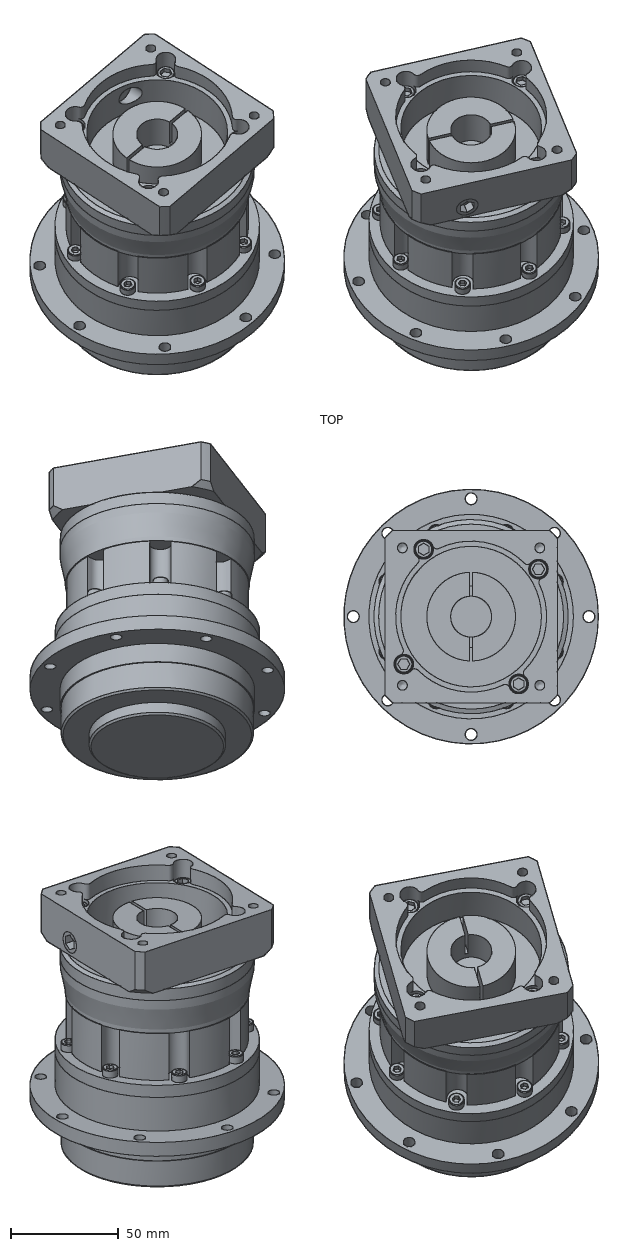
import cadquery as cq
import math

PILOT_TOP = 6.1
NOSE_TOP = 20.3
FLANGE_BOTTOM = 29.9
FLANGE_TOP = 37.1
HOUSING_BOTTOM = 54.6
FOOT_TOP = 60.9
COLLAR_BOTTOM = 85.5
CONE_BOTTOM = 87.5
CONE_TOP = 98.9
ADAPTER_BOTTOM = 103.7
POCKET_FLOOR = 106.1
PLATE_BOTTOM = 110.7
HUB_TOP = 123.9
POCKET_STEP = 125.5
TOP = 133.5

FLANGE_RADIUS = 59.0
BODY_RADIUS = 47.4
SHOULDER_RADIUS = 45.1
NOSE_RADIUS = 44.6
PILOT_RADIUS = 31.6
EDGE_CHAMFER = 1.0
FLANGE_HOLES = 8
FLANGE_HOLE_DIAMETER = 5.3
FLANGE_HOLE_CIRCLE = 54.6

RING_RADIUS = 45.0
COLLAR_RADIUS = 42.7
BARREL_RADIUS = 42.3
SLOTS = 8
SLOT_RADIUS = 5.0
SLOT_CENTER = 39.0
FOOT_SCREW_CIRCLE = 42.3
FOOT_HEAD_RADIUS = 3.6
FOOT_SOCKET_RADIUS = 1.9

HEAD_HEIGHT = 3.9
HEAD_CHAMFER = 0.4
SOCKET_DEPTH = 2.4

PLATE_SIDE = 79.8
PLATE_CORNER_RADIUS = 54.1
PLATE_CORNER_CHAMFER = 3.0
RING_CHAMFER_WIDTH = 2.1
RING_CHAMFER_HEIGHT = 1.0
POCKET_RADIUS = 32.6
POCKET_MOUTH_RADIUS = 35.0
ADAPTER_SCREWS = 4
ADAPTER_SCREW_CIRCLE = 38.2
ADAPTER_SCREW_ANGLE = 35.2
ADAPTER_HEAD_RADIUS = 4.1
ADAPTER_SOCKET_RADIUS = 2.8
ADAPTER_HEAD_TOP = 124.4
COUNTERBORE_RADIUS = 4.5
COUNTERBORE_FILLET = 2.0
MOTOR_HOLE_SPACING = 63.7
MOTOR_HOLE_RADIUS = 2.3
MOTOR_HOLE_DEPTH = 16.0
DRILL_POINT_ANGLE = 118.0

HUB_RADIUS = 20.5
HUB_BORE_RADIUS = 9.5
SLIT_WIDTH = 1.5
SLIT_STEP_RADIUS = 14.3
INNER_SLIT_DEPTH = 14.7

PLUG_RADIUS = 5.2
PLUG_LENGTH = 6.7
PLUG_Y = 14.2
PLUG_Z = 117.3
PLUG_SOCKET_RADIUS = 3.7
PLUG_SOCKET_DEPTH = 4.7


def disc(radius, bottom, top):
    """Cylinder on the Z axis between two heights."""
    return cq.Workplane("XY", origin=(0, 0, bottom)).circle(radius).extrude(top - bottom)


def ring_points(count, radius, start_angle):
    """Points equally spaced on a circle around the Z axis."""
    angles = [math.radians(start_angle + i * 360 / count) for i in range(count)]
    return [(radius * math.cos(a), radius * math.sin(a)) for a in angles]


def screw_heads(points, bottom, head_radius, socket_radius):
    """Chamfered heads with hexagon sockets; each is the first one turned about the Z axis."""
    top = bottom + HEAD_HEIGHT
    first = cq.Workplane("XY", origin=(*points[0], bottom)).circle(head_radius).extrude(HEAD_HEIGHT)
    first = first.faces(">Z").edges().chamfer(HEAD_CHAMFER)
    socket = cq.Workplane("XY", origin=(*points[0], top)).polygon(6, 2 * socket_radius)
    first = first.cut(socket.extrude(-SOCKET_DEPTH))
    step = 360 / len(points)
    return [first.rotate((0, 0, 0), (0, 0, 1), i * step) for i in range(len(points))]


def make_output_flange():
    """Stepped round body with the mounting flange and the pilot at its lower end."""
    pilot = disc(PILOT_RADIUS, 0, PILOT_TOP).faces("<Z").chamfer(EDGE_CHAMFER)
    nose = disc(NOSE_RADIUS, PILOT_TOP, NOSE_TOP).faces("<Z").chamfer(EDGE_CHAMFER)
    shoulder = disc(SHOULDER_RADIUS, NOSE_TOP, FLANGE_BOTTOM)
    flange = disc(FLANGE_RADIUS, FLANGE_BOTTOM, FLANGE_TOP)
    body = disc(BODY_RADIUS, FLANGE_TOP, HOUSING_BOTTOM)
    holes = (
        cq.Workplane("XY", origin=(0, 0, FLANGE_BOTTOM))
        .pushPoints(ring_points(FLANGE_HOLES, FLANGE_HOLE_CIRCLE, 0))
        .circle(FLANGE_HOLE_DIAMETER / 2)
        .extrude(FLANGE_TOP - FLANGE_BOTTOM)
    )
    return pilot.union(nose).union(shoulder).union(flange.cut(holes)).union(body)


def make_housing():
    """Slotted barrel on a round foot, flaring out to the adapter; the foot screws are part of it."""
    first_slot_angle = 180 / SLOTS
    housing = (
        cq.Workplane("XZ")
        .moveTo(0, HOUSING_BOTTOM)
        .lineTo(BODY_RADIUS, HOUSING_BOTTOM)
        .lineTo(BODY_RADIUS, FOOT_TOP)
        .lineTo(BARREL_RADIUS, FOOT_TOP)
        .lineTo(BARREL_RADIUS, COLLAR_BOTTOM)
        .lineTo(COLLAR_RADIUS, COLLAR_BOTTOM)
        .lineTo(COLLAR_RADIUS, CONE_BOTTOM)
        .lineTo(RING_RADIUS, CONE_TOP)
        .lineTo(RING_RADIUS, ADAPTER_BOTTOM)
        .lineTo(0, ADAPTER_BOTTOM)
        .close()
        .revolve(360, (0, 0, 0), (0, 1, 0))
    )
    slot_length = BODY_RADIUS - SLOT_CENTER
    slot = (
        cq.Workplane("XY", origin=(0, 0, FOOT_TOP))
        .moveTo(SLOT_CENTER, SLOT_RADIUS)
        .line(slot_length, 0)
        .line(0, -2 * SLOT_RADIUS)
        .line(-slot_length, 0)
        .threePointArc((SLOT_CENTER - SLOT_RADIUS, 0), (SLOT_CENTER, SLOT_RADIUS))
        .close()
        .extrude(COLLAR_BOTTOM - FOOT_TOP)
    )
    for i in range(SLOTS):
        housing = housing.cut(slot.rotate((0, 0, 0), (0, 0, 1), first_slot_angle + i * 360 / SLOTS))
    screw_points = ring_points(SLOTS, FOOT_SCREW_CIRCLE, first_slot_angle)
    for head in screw_heads(screw_points, FOOT_TOP, FOOT_HEAD_RADIUS, FOOT_SOCKET_RADIUS):
        housing = housing.union(head)
    return housing


def adapter_blank():
    """Square plate with turned corners on a chamfered round base."""
    plate = cq.Workplane("XY", origin=(0, 0, PLATE_BOTTOM)).rect(PLATE_SIDE, PLATE_SIDE)
    plate = plate.extrude(TOP - PLATE_BOTTOM)
    turned = disc(PLATE_CORNER_RADIUS, PLATE_BOTTOM, TOP).faces("<Z").chamfer(PLATE_CORNER_CHAMFER)
    base = (
        cq.Workplane("XZ")
        .moveTo(0, ADAPTER_BOTTOM)
        .lineTo(RING_RADIUS, ADAPTER_BOTTOM)
        .lineTo(RING_RADIUS, PLATE_BOTTOM - RING_CHAMFER_HEIGHT)
        .lineTo(RING_RADIUS - RING_CHAMFER_WIDTH, PLATE_BOTTOM)
        .lineTo(0, PLATE_BOTTOM)
        .close()
        .revolve(360, (0, 0, 0), (0, 1, 0))
    )
    return plate.intersect(turned).union(base)


def pocket_cutter(screw_points, counterbore_floor):
    """Stepped round pocket whose mouth blends into the screw counterbores."""
    mouth = disc(POCKET_MOUTH_RADIUS, POCKET_STEP, TOP)
    upper_bores = cq.Workplane("XY", origin=(0, 0, POCKET_STEP)).pushPoints(screw_points)
    upper_bores = upper_bores.circle(COUNTERBORE_RADIUS).extrude(TOP - POCKET_STEP)
    mouth = mouth.union(upper_bores).edges("|Z").fillet(COUNTERBORE_FILLET)
    lower_bores = cq.Workplane("XY", origin=(0, 0, counterbore_floor)).pushPoints(screw_points)
    lower_bores = lower_bores.circle(COUNTERBORE_RADIUS).extrude(POCKET_STEP - counterbore_floor)
    return mouth.union(lower_bores).union(disc(POCKET_RADIUS, POCKET_FLOOR, TOP))


def motor_hole_cutter():
    """One blind hole with a drill point, on the Z axis and open at the top."""
    point_height = MOTOR_HOLE_RADIUS / math.tan(math.radians(DRILL_POINT_ANGLE / 2))
    floor = TOP - MOTOR_HOLE_DEPTH
    return (
        cq.Workplane("XZ")
        .moveTo(0, floor - point_height)
        .lineTo(MOTOR_HOLE_RADIUS, floor)
        .lineTo(MOTOR_HOLE_RADIUS, TOP)
        .lineTo(0, TOP)
        .close()
        .revolve(360, (0, 0, 0), (0, 1, 0))
    )


def make_adapter():
    """Motor adapter with its pocket, motor holes, plug hole and fixing screw heads."""
    screw_points = ring_points(ADAPTER_SCREWS, ADAPTER_SCREW_CIRCLE, ADAPTER_SCREW_ANGLE)
    counterbore_floor = ADAPTER_HEAD_TOP - HEAD_HEIGHT
    adapter = adapter_blank().cut(pocket_cutter(screw_points, counterbore_floor))
    hole = motor_hole_cutter()
    offset = MOTOR_HOLE_SPACING / 2
    for x in (-offset, offset):
        for y in (-offset, offset):
            adapter = adapter.cut(hole.translate((x, y, 0)))
    plug_hole = cq.Workplane("YZ", origin=(-PLATE_SIDE / 2, PLUG_Y, PLUG_Z)).circle(PLUG_RADIUS)
    adapter = adapter.cut(plug_hole.extrude(PLATE_SIDE / 2))
    for head in screw_heads(
        screw_points, counterbore_floor, ADAPTER_HEAD_RADIUS, ADAPTER_SOCKET_RADIUS
    ):
        adapter = adapter.union(head)
    return adapter


def make_hub():
    """Clamp hub slit from both sides; an unslit ring at the bottom holds the halves together."""
    height = HUB_TOP - POCKET_FLOOR
    hub = disc(HUB_RADIUS, POCKET_FLOOR, HUB_TOP).cut(disc(HUB_BORE_RADIUS, POCKET_FLOOR, HUB_TOP))
    slit = cq.Workplane("XY", origin=(0, 0, HUB_TOP)).rect(SLIT_WIDTH, 2 * HUB_RADIUS).extrude(-height)
    slit_bottom = HUB_TOP - INNER_SLIT_DEPTH
    return hub.cut(slit.cut(disc(SLIT_STEP_RADIUS, POCKET_FLOOR, slit_bottom)))


def make_plug():
    """Round plug with a hexagon socket, flush with the -X face of the adapter."""
    face = cq.Workplane("YZ", origin=(-PLATE_SIDE / 2, PLUG_Y, PLUG_Z))
    blank = face.circle(PLUG_RADIUS).extrude(PLUG_LENGTH)
    socket = face.transformed(rotate=(0, 0, 90)).polygon(6, 2 * PLUG_SOCKET_RADIUS)
    return blank.cut(socket.extrude(PLUG_SOCKET_DEPTH))


output_flange = make_output_flange()
housing = make_housing()
adapter = make_adapter()
hub = make_hub()
plug = make_plug()

result = cq.Compound.makeCompound(
    [output_flange.val(), housing.val(), adapter.val(), hub.val(), plug.val()]
)